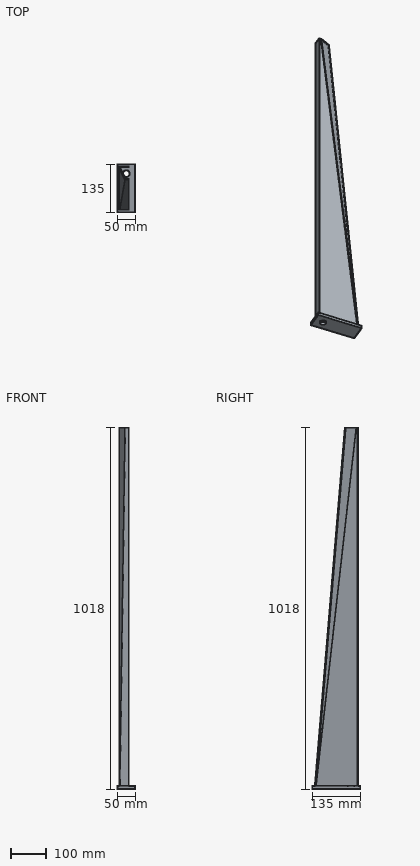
import cadquery as cq
import math

TOTAL_HEIGHT = 1018.0
PLATE_WIDTH = 50.0
PLATE_LENGTH = 135.0
PLATE_THICKNESS = 9.0
HOLE_DIAMETER = 18.0
HOLE_FROM_BACK = 26.0

SHEET_THICKNESS = 3.0
POST_WIDTH = 27.0
POST_INSET = 5.0
FOOT_DEPTH = 123.0
HEAD_DEPTH = 39.0
HEAD_SIDE_DEPTH = 7.0
HEAD_CORNER_CUT = 16.0
FOOT_CORNER_CUT = 1.5

POST_HEIGHT = TOTAL_HEIGHT - PLATE_THICKNESS
POST_LEFT = -PLATE_WIDTH / 2 + POST_INSET
POST_RIGHT = POST_LEFT + POST_WIDTH
POST_BACK = PLATE_LENGTH / 2 - POST_INSET
PANEL_SLOPE = (HEAD_DEPTH - HEAD_SIDE_DEPTH) / HEAD_CORNER_CUT


def make_plate():
    hole_y = PLATE_LENGTH / 2 - HOLE_FROM_BACK
    return (
        cq.Workplane("XY")
        .rect(PLATE_WIDTH, PLATE_LENGTH)
        .extrude(PLATE_THICKNESS)
        .cut(
            cq.Workplane("XY")
            .center(0, hole_y)
            .circle(HOLE_DIAMETER / 2)
            .extrude(PLATE_THICKNESS)
        )
    )


def post_section(depth, corner_cut):
    """Closed outline of the folded sheet: back flange, side, slanted panel, front flange."""
    front = POST_BACK - depth
    side_end = front + corner_cut * PANEL_SLOPE
    inner_left = POST_LEFT + SHEET_THICKNESS
    inner_back = POST_BACK - SHEET_THICKNESS
    inner_front = front + SHEET_THICKNESS
    panel_shift = SHEET_THICKNESS * math.hypot(1, 1 / PANEL_SLOPE)
    inner_side_end = side_end + (panel_shift - SHEET_THICKNESS) * PANEL_SLOPE
    inner_panel_end = POST_LEFT + panel_shift + (side_end - inner_front) / PANEL_SLOPE
    return [
        (POST_RIGHT, POST_BACK),
        (POST_LEFT, POST_BACK),
        (POST_LEFT, side_end),
        (POST_LEFT + corner_cut, front),
        (POST_RIGHT, front),
        (POST_RIGHT, inner_front),
        (inner_panel_end, inner_front),
        (inner_left, inner_side_end),
        (inner_left, inner_back),
        (POST_RIGHT, inner_back),
    ]


def make_post():
    return (
        cq.Workplane("XY", origin=(0, 0, PLATE_THICKNESS))
        .polyline(post_section(FOOT_DEPTH, FOOT_CORNER_CUT))
        .close()
        .workplane(offset=POST_HEIGHT)
        .polyline(post_section(HEAD_DEPTH, HEAD_CORNER_CUT))
        .close()
        .loft(ruled=True)
    )


plate = make_plate()
post = make_post()
result = cq.Compound.makeCompound([plate.val(), post.val()])